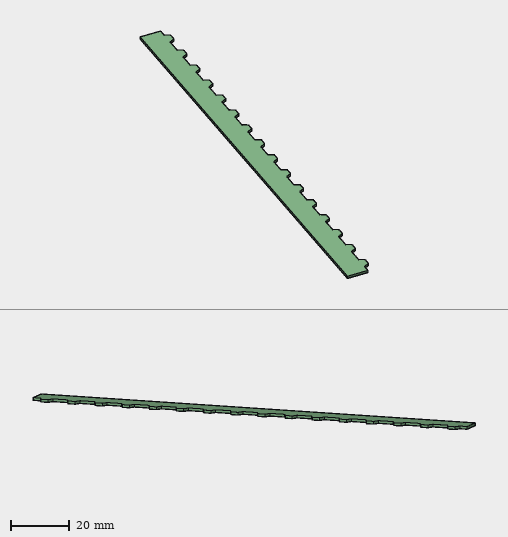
import cadquery as cq

length = 160.0
total_width = 10.0
thickness = 1.0

tooth_count = 16
pitch = length / tooth_count
tooth_height = pitch / 5
tooth_root_width = 4.6
tooth_tip_width = 2.5

body_width = total_width - tooth_height


def tooth_points(center_x):
    """Corners of one tooth, from its left root to its right root."""
    return [
        (center_x - tooth_root_width / 2, body_width),
        (center_x - tooth_tip_width / 2, total_width),
        (center_x + tooth_tip_width / 2, total_width),
        (center_x + tooth_root_width / 2, body_width),
    ]


outline = [(0, 0), (0, body_width)]
for index in range(tooth_count):
    outline += tooth_points((index + 0.5) * pitch)
outline += [(length, body_width), (length, 0)]

result = cq.Workplane("XY").polyline(outline).close().extrude(thickness)